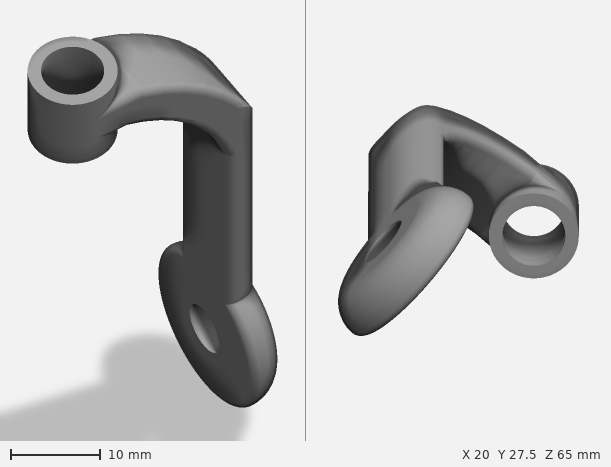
import cadquery as cq
import math

eye_radius = 10.0
eye_thickness = 5.0
eye_hole_diameter = 6.0
front_round = 1.0
back_round = eye_thickness - front_round

socket_diameter = 10.0
socket_bore = 7.0
socket_height = 10.0
overall_height = 65.0
overall_depth = 27.5
socket_y = socket_diameter / 2 - overall_depth
socket_top = overall_height - eye_radius
socket_middle = socket_top - socket_height / 2

arm_width = socket_diameter
arm_thickness = eye_thickness
arm_top = socket_middle + arm_thickness / 2
arm_bottom = socket_middle - arm_thickness / 2
outer_bend_center = (-25.7, 26.7)
outer_bend_radius = 27.35
inner_bend_center = (-24.65, 27.95)
inner_bend_radius = 20.5


def bend_point_at_y(center, radius, y):
    """Upper (Y, Z) point of a bend arc at the given Y."""
    return y, center[1] + math.sqrt(radius**2 - (y - center[0]) ** 2)


def bend_point_at_z(center, radius, z):
    """Rear (Y, Z) point of a bend arc at the given Z."""
    return center[0] + math.sqrt(radius**2 - (z - center[1]) ** 2), z


def bend_middle(center, radius, start, end):
    """Point on a bend arc halfway, by angle, between two of its points."""
    angles = [math.atan2(z - center[1], y - center[0]) for y, z in (start, end)]
    angle = sum(angles) / 2
    return center[0] + radius * math.cos(angle), center[1] + radius * math.sin(angle)


def make_eye():
    """Disc with a small round on its front rim and a full, larger round behind it."""
    diagonal = math.sqrt(0.5)
    front_rim = eye_radius - front_round
    back_rim = eye_radius - back_round
    return (
        cq.Workplane("YZ")
        .lineTo(-eye_thickness, 0)
        .lineTo(-eye_thickness, front_rim)
        .threePointArc(
            (-back_round - front_round * diagonal, front_rim + front_round * diagonal),
            (-back_round, eye_radius),
        )
        .threePointArc(
            (-back_round + back_round * diagonal, back_rim + back_round * diagonal),
            (0, back_rim),
        )
        .close()
        .revolve(360, (0, 0, 0), (1, 0, 0))
    )


def make_arm():
    """Bent arm with rounded edges, its rear corners rounded by the plan outline."""
    outer_start = bend_point_at_y(outer_bend_center, outer_bend_radius, 0)
    outer_end = bend_point_at_z(outer_bend_center, outer_bend_radius, arm_top)
    inner_start = bend_point_at_y(inner_bend_center, inner_bend_radius, -arm_thickness)
    inner_end = bend_point_at_z(inner_bend_center, inner_bend_radius, arm_bottom)
    outer_middle = bend_middle(outer_bend_center, outer_bend_radius, outer_start, outer_end)
    inner_middle = bend_middle(inner_bend_center, inner_bend_radius, inner_end, inner_start)
    bent_bar = (
        cq.Workplane("YZ")
        .moveTo(0, 0)
        .lineTo(*outer_start)
        .threePointArc(outer_middle, outer_end)
        .lineTo(socket_y, arm_top)
        .lineTo(socket_y, arm_bottom)
        .lineTo(*inner_end)
        .threePointArc(inner_middle, inner_start)
        .lineTo(-arm_thickness, 0)
        .close()
        .extrude(arm_width / 2, both=True)
    )

    for y, z in (outer_end, inner_start):
        bent_bar = bent_bar.edges(cq.NearestToPointSelector((0, y, z))).fillet(front_round)

    long_edges = bent_bar.faces("<X or >X").edges()
    rear_edges = bent_bar.faces(">Y").edges()
    end_edges = bent_bar.faces("<Y or <Z").edges()
    bent_bar = bent_bar.newObject(
        [
            edge
            for edge in long_edges.vals()
            if not any(edge.isSame(other) for other in rear_edges.vals() + end_edges.vals())
        ]
    ).fillet(front_round)

    plan_outline = (
        cq.Workplane("XY")
        .center(0, socket_y / 2)
        .rect(arm_width, -socket_y)
        .extrude(overall_height)
        .edges("|Z and >Y").fillet(back_round)
    )
    return bent_bar.intersect(plan_outline)


def make_socket():
    """Outer body of the tube."""
    return (
        cq.Workplane("XY", origin=(0, socket_y, socket_top - socket_height))
        .circle(socket_diameter / 2)
        .extrude(socket_height)
    )


eye_hole = cq.Workplane("XZ").circle(eye_hole_diameter / 2).extrude(eye_thickness)
socket_hole = (
    cq.Workplane("XY", origin=(0, socket_y, socket_top - socket_height))
    .circle(socket_bore / 2)
    .extrude(socket_height)
)

result = make_eye().union(make_arm()).union(make_socket()).cut(eye_hole).cut(socket_hole)